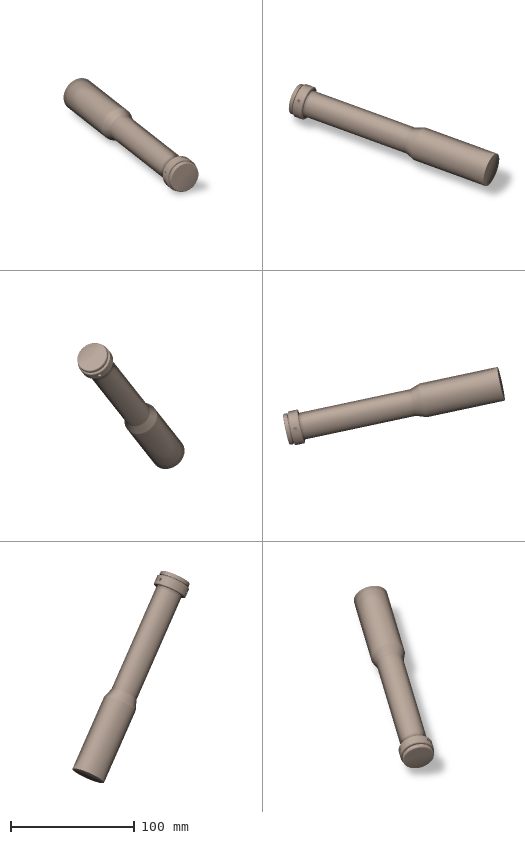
import cadquery as cq

length = 178.5
grip_end = 64.8
cone_end = 73.4
collar_start = 166.2
collar_end = 174.4
rim_start = 175.3

grip_radius = 14.01
tube_radius = 11.0
collar_radius = grip_radius
groove_radius = 11.8
rim_radius = 12.9

collar_chamfer = 0.5
rim_chamfer = 0.5

hole_count = 3
hole_diameter = 2.7
hole_depth = 1.8
hole_x = (collar_start + collar_end) / 2
first_hole_angle = 45.0


def turned_body():
    """Stepped shaft: grip, cone, tube, collar, groove and end rim."""
    profile = [
        (0, 0),
        (0, grip_radius),
        (grip_end, grip_radius),
        (cone_end, tube_radius),
        (collar_start, tube_radius),
        (collar_start, collar_radius - collar_chamfer),
        (collar_start + collar_chamfer, collar_radius),
        (collar_end - collar_chamfer, collar_radius),
        (collar_end, collar_radius - collar_chamfer),
        (collar_end, groove_radius),
        (rim_start, groove_radius),
        (rim_start, rim_radius),
        (length - rim_chamfer, rim_radius),
        (length, rim_radius - rim_chamfer),
        (length, 0),
    ]
    return cq.Workplane("XY").polyline(profile).close().revolve(360, (0, 0, 0), (1, 0, 0))


def collar_hole(angle):
    """Blind radial hole cutter, turned about the X axis from +Y."""
    floor_radius = collar_radius - hole_depth
    drill = cq.Solid.makeCylinder(
        hole_diameter / 2,
        2 * hole_depth,
        cq.Vector(hole_x, floor_radius, 0),
        cq.Vector(0, 1, 0),
    )
    return drill.rotate(cq.Vector(0, 0, 0), cq.Vector(1, 0, 0), angle)


result = turned_body()
for index in range(hole_count):
    result = result.cut(cq.Workplane(collar_hole(first_hole_angle + index * 360 / hole_count)))